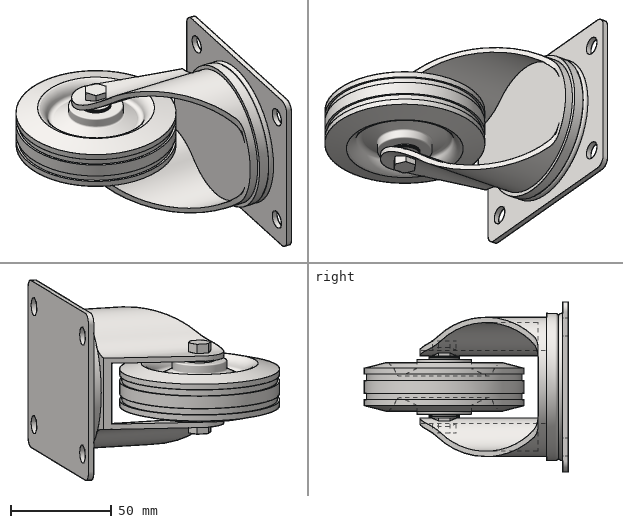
import cadquery as cq
import math


PLATE_LENGTH = 100.0
PLATE_HEIGHT = 85.0
PLATE_THICKNESS = 2.8
PLATE_CORNER_RADIUS = 5.0
HOLE_SPACING_X = 80.0
HOLE_SPACING_Z = 60.0
HOLE_DIAMETER = 9.0

HEAD_RADIUS = 73.6 / 2
HEAD_NECK_INSET = 1.2
HEAD_NECK_DEPTH = 5.0
HEAD_SHOULDER_DEPTH = 6.7
HEAD_BOTTOM_DEPTH = 10.9

WHEEL_RADIUS = 80.0 / 2
WHEEL_X = PLATE_LENGTH / 2 + WHEEL_RADIUS - 128
WHEEL_DEPTH = 102.0 - WHEEL_RADIUS
TREAD_GROOVE_RADIUS = 77.8 / 2
TREAD_BAND_HALF_WIDTH = 3.2
TREAD_GROOVE_OUTER_Z = 6.4
TREAD_EDGE_Z = 9.3
WHEEL_HALF_WIDTH = 12.2
SIDE_FACE_RADIUS = 29.2
RECESS_RADIUS = 27.9
RECESS_LIP_Z = 11.8
RECESS_WALL_RADIUS = 25.6
RECESS_WALL_Z = 9.9
RECESS_FLOOR_OUTER_RADIUS = 24.2
RECESS_FLOOR_OUTER_Z = 7.0
RECESS_FLOOR_RADIUS = 22.3
RECESS_FLOOR_Z = 5.4
RECESS_FLOOR_INNER_RADIUS = 20.7
RECESS_FLOOR_INNER_Z = 5.8
HUB_RADIUS = 27.4 / 2
HUB_BASE_RADIUS = 14.5
HUB_BASE_Z = 8.8
HUB_FLARE_TOP_Z = 9.6
HUB_FLARE_MIDDLE_RADIUS = 14.0
HUB_FLARE_MIDDLE_Z = 9.1
HUB_EDGE_FILLET = 0.6
HUB_HALF_WIDTH = 13.8

SPACER_RADIUS = 15.2 / 2
SPACER_GROOVE_RADIUS = 12.0 / 2
SPACER_GROOVE_INNER_Z = 14.5
SPACER_GROOVE_WIDTH = 0.4
BOLT_HEAD_ACROSS_FLATS = 10.2
BOLT_HEAD_TOP_Z = 22.9

FORK_RADIUS = 34.8
FORK_THICKNESS = 2.7
LEG_OUTER_Z = 18.2
LEG_INNER_Z = LEG_OUTER_Z - FORK_THICKNESS
LEG_BEND_START_X = -42.0
FORK_CAP_BOTTOM_DEPTH = 15.1
FORK_TOP_LEFT_X = -40.2
FORK_END_RADIUS = 12.2
FORK_BACK_ANGLE = math.radians(45)
FORK_BACK_FILLET = 7.7
FORK_MARGIN = 6.4


def depth_plane(depth):
    """Plane across the swivel axis whose extrusions run toward -Y; local axes are X and Z."""
    return cq.Workplane("XZ", origin=(0, -depth, 0))


def mounting_plate():
    plate = depth_plane(0).rect(PLATE_LENGTH, PLATE_HEIGHT).extrude(PLATE_THICKNESS)
    plate = plate.edges("|Y").fillet(PLATE_CORNER_RADIUS)
    holes = (
        depth_plane(0)
        .rect(HOLE_SPACING_X, HOLE_SPACING_Z, forConstruction=True)
        .vertices()
        .circle(HOLE_DIAMETER / 2)
        .extrude(PLATE_THICKNESS)
    )
    return plate.cut(holes)


def swivel_head():
    """Turned head: two rounded shoulders meet at a neck above the cylindrical rim."""
    neck_radius = HEAD_RADIUS - HEAD_NECK_INSET
    bulge_share = math.sin(math.radians(45))
    bulge_radius = neck_radius + HEAD_NECK_INSET * bulge_share
    upper_bulge_depth = PLATE_THICKNESS + (HEAD_NECK_DEPTH - PLATE_THICKNESS) * bulge_share
    lower_bulge_depth = HEAD_SHOULDER_DEPTH - (HEAD_SHOULDER_DEPTH - HEAD_NECK_DEPTH) * bulge_share
    return (
        cq.Workplane("XY")
        .lineTo(HEAD_RADIUS, 0)
        .lineTo(HEAD_RADIUS, -PLATE_THICKNESS)
        .threePointArc((bulge_radius, -upper_bulge_depth), (neck_radius, -HEAD_NECK_DEPTH))
        .threePointArc((bulge_radius, -lower_bulge_depth), (HEAD_RADIUS, -HEAD_SHOULDER_DEPTH))
        .lineTo(HEAD_RADIUS, -HEAD_BOTTOM_DEPTH)
        .lineTo(0, -HEAD_BOTTOM_DEPTH)
        .close()
        .revolve(360, (0, 0, 0), (0, 1, 0))
    )


def fork_plan(radius, leg_z, bend_radius, start_depth, end_depth):
    """Keyhole prism: a round body that flows through two bends into parallel sides."""
    left_x = WHEEL_X - FORK_END_RADIUS - FORK_MARGIN
    bend_center_z = leg_z + bend_radius
    tangent_share = radius / (radius + bend_radius)
    join_x = LEG_BEND_START_X * tangent_share
    join_z = bend_center_z * tangent_share

    join_angle = math.atan2(join_z - bend_center_z, join_x - LEG_BEND_START_X)
    middle_angle = (join_angle - math.pi / 2) / 2
    middle_x = LEG_BEND_START_X + bend_radius * math.cos(middle_angle)
    middle_z = bend_center_z + bend_radius * math.sin(middle_angle)

    return (
        depth_plane(start_depth)
        .moveTo(left_x, leg_z)
        .lineTo(LEG_BEND_START_X, leg_z)
        .threePointArc((middle_x, middle_z), (join_x, join_z))
        .threePointArc((radius, 0), (join_x, -join_z))
        .threePointArc((middle_x, -middle_z), (LEG_BEND_START_X, -leg_z))
        .lineTo(left_x, -leg_z)
        .close()
        .extrude(end_depth - start_depth)
    )


def fork_side_profile():
    """Side outline of the fork, rounded about the axle and extruded through both legs."""
    to_wheel_x = WHEEL_X - FORK_TOP_LEFT_X
    to_wheel_y = HEAD_BOTTOM_DEPTH - WHEEL_DEPTH
    distance = math.hypot(to_wheel_x, to_wheel_y)
    front_angle = math.atan2(-to_wheel_y, -to_wheel_x) + math.acos(FORK_END_RADIUS / distance)
    front_x = WHEEL_X + FORK_END_RADIUS * math.cos(front_angle)
    front_y = -WHEEL_DEPTH + FORK_END_RADIUS * math.sin(front_angle)

    back_x = WHEEL_X + FORK_END_RADIUS * math.sin(FORK_BACK_ANGLE)
    back_y = -WHEEL_DEPTH - FORK_END_RADIUS * math.cos(FORK_BACK_ANGLE)
    corner_x = back_x + (-FORK_CAP_BOTTOM_DEPTH - back_y) / math.tan(FORK_BACK_ANGLE)

    right_x = FORK_RADIUS + FORK_MARGIN
    profile = (
        cq.Workplane("XY", origin=(0, 0, -FORK_RADIUS))
        .moveTo(FORK_TOP_LEFT_X, -HEAD_BOTTOM_DEPTH)
        .lineTo(front_x, front_y)
        .threePointArc((WHEEL_X, -WHEEL_DEPTH - FORK_END_RADIUS), (back_x, back_y))
        .lineTo(corner_x, -FORK_CAP_BOTTOM_DEPTH)
        .lineTo(right_x, -FORK_CAP_BOTTOM_DEPTH)
        .lineTo(right_x, -HEAD_BOTTOM_DEPTH)
        .close()
        .extrude(2 * FORK_RADIUS)
    )
    corner = cq.selectors.NearestToPointSelector((corner_x, -FORK_CAP_BOTTOM_DEPTH, 0))
    return profile.edges("|Z").edges(corner).fillet(FORK_BACK_FILLET)


def fork():
    """Sheet fork: a cap under the swivel head and a bent wall forming both legs."""
    bottom_depth = WHEEL_DEPTH + FORK_END_RADIUS + FORK_MARGIN
    bend_offset_squared = LEG_BEND_START_X**2 + LEG_OUTER_Z**2 - FORK_RADIUS**2
    bend_radius = bend_offset_squared / (2 * (FORK_RADIUS - LEG_OUTER_Z))
    outside = fork_plan(FORK_RADIUS, LEG_OUTER_Z, bend_radius, HEAD_BOTTOM_DEPTH, bottom_depth)
    inside = fork_plan(
        FORK_RADIUS - FORK_THICKNESS,
        LEG_INNER_Z,
        bend_radius + FORK_THICKNESS,
        FORK_CAP_BOTTOM_DEPTH,
        bottom_depth,
    )
    return outside.cut(inside).intersect(fork_side_profile())


def wheel():
    """Grooved tread, recessed sides and a raised hub, symmetric about the middle plane."""
    half = (
        cq.Workplane("XZ")
        .lineTo(WHEEL_RADIUS, 0)
        .lineTo(WHEEL_RADIUS, TREAD_BAND_HALF_WIDTH)
        .lineTo(TREAD_GROOVE_RADIUS, TREAD_BAND_HALF_WIDTH)
        .lineTo(TREAD_GROOVE_RADIUS, TREAD_GROOVE_OUTER_Z)
        .lineTo(WHEEL_RADIUS, TREAD_GROOVE_OUTER_Z)
        .lineTo(WHEEL_RADIUS, TREAD_EDGE_Z)
        .lineTo(SIDE_FACE_RADIUS, WHEEL_HALF_WIDTH)
        .lineTo(RECESS_RADIUS, RECESS_LIP_Z)
        .threePointArc(
            (RECESS_WALL_RADIUS, RECESS_WALL_Z),
            (RECESS_FLOOR_OUTER_RADIUS, RECESS_FLOOR_OUTER_Z),
        )
        .threePointArc(
            (RECESS_FLOOR_RADIUS, RECESS_FLOOR_Z),
            (RECESS_FLOOR_INNER_RADIUS, RECESS_FLOOR_INNER_Z),
        )
        .lineTo(HUB_BASE_RADIUS, HUB_BASE_Z)
        .threePointArc((HUB_FLARE_MIDDLE_RADIUS, HUB_FLARE_MIDDLE_Z), (HUB_RADIUS, HUB_FLARE_TOP_Z))
        .lineTo(HUB_RADIUS, HUB_HALF_WIDTH)
        .lineTo(0, HUB_HALF_WIDTH)
        .close()
        .revolve(360, (0, 0, 0), (0, 1, 0))
    )
    half = half.faces(">Z").edges().fillet(HUB_EDGE_FILLET)
    return half.union(half.mirror("XY")).translate((WHEEL_X, -WHEEL_DEPTH, 0))


def axle():
    """Grooved spacers between the legs and a hexagonal bolt head outside each leg."""
    spacer = cq.Workplane("XY").circle(SPACER_RADIUS).extrude(LEG_INNER_Z, both=True)
    groove = (
        cq.Workplane("XY", origin=(0, 0, SPACER_GROOVE_INNER_Z))
        .circle(SPACER_RADIUS)
        .circle(SPACER_GROOVE_RADIUS)
        .extrude(SPACER_GROOVE_WIDTH)
    )
    spacer = spacer.cut(groove).cut(groove.mirror("XY"))
    across_corners = BOLT_HEAD_ACROSS_FLATS / math.cos(math.pi / 6)
    bolt = cq.Workplane("XY").polygon(6, across_corners).extrude(BOLT_HEAD_TOP_Z, both=True)
    bolt = bolt.rotate((0, 0, 0), (0, 0, 1), 30)
    return spacer.union(bolt).translate((WHEEL_X, -WHEEL_DEPTH, 0))


result = mounting_plate().union(swivel_head()).union(fork()).union(wheel()).union(axle())